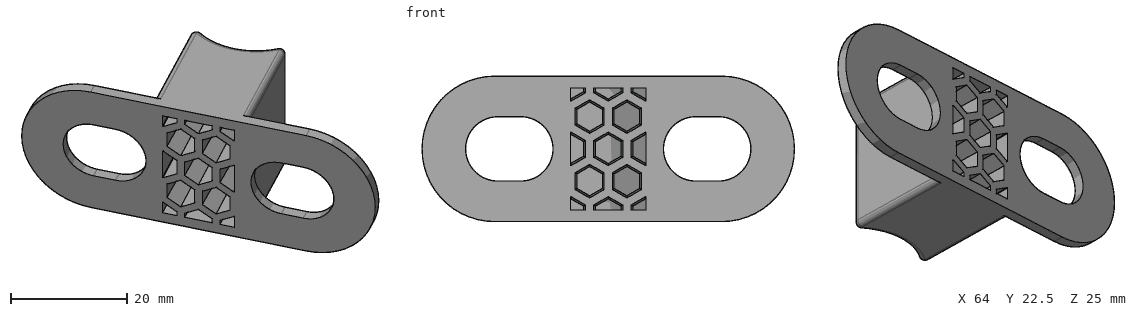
import cadquery as cq
import math

plate_length = 64
plate_height = 25.0
plate_thickness = 2.0

slot_spacing = 34.0
slot_length = 15.0
slot_height = 11.0

block_width = 17.0
edge_radius = 1.0
total_depth = 22.5
saddle_radius = 11.5

pocket_width = 13.0
pocket_height = 21.0
cell_pitch = 6.4
cell_flats = 5.0
rows_above_middle = 2
cell_draft = 1.0
floor_thickness = 2.0

tip_center_x = block_width / 2 - edge_radius
tip_center_y = total_depth - edge_radius
saddle_axis_y = tip_center_y + math.sqrt((saddle_radius + edge_radius) ** 2 - tip_center_x**2)


def facing_back(start_y):
    """Workplane parallel to XZ that extrudes toward +Y."""
    return cq.Workplane(cq.Plane(origin=(0, start_y, 0), xDir=(1, 0, 0), normal=(0, 1, 0)))


def saddle_cylinder(radius):
    """Cylinder along Z about the saddle axis, taller than the block."""
    return cq.Workplane("XY", origin=(0, saddle_axis_y, 0)).circle(radius).extrude(plate_height, both=True)


def make_plate():
    """Obround plate with two mounting slots."""
    plate = facing_back(0).slot2D(plate_length, plate_height).extrude(plate_thickness)
    slot_centers = [(-slot_spacing / 2, 0), (slot_spacing / 2, 0)]
    slots = facing_back(0).pushPoints(slot_centers).slot2D(slot_length, slot_height).extrude(plate_thickness)
    return plate.cut(slots)


def make_block():
    """Block with the saddle cut in its end and every edge behind the plate rounded."""
    uncut_length = saddle_axis_y - plate_thickness
    block = facing_back(plate_thickness).rect(block_width, plate_height).extrude(uncut_length)
    block = block.cut(saddle_cylinder(saddle_radius))
    return block.edges("not(<Y)").fillet(edge_radius)


def make_cell():
    """Tapered hexagonal cell with corners at top and bottom, centred on the Y axis."""
    corner_radius = cell_flats / math.sqrt(3)
    corners = []
    for corner in range(6):
        angle = math.radians(30 + 60 * corner)
        corners.append((corner_radius * math.cos(angle), corner_radius * math.sin(angle)))
    return facing_back(0).polyline(corners).close().extrude(total_depth, taper=cell_draft)


def make_honeycomb():
    """Hexagonal cells clipped by the pocket, with a floor parallel to the saddle."""
    pocket = facing_back(0).rect(pocket_width, pocket_height).extrude(total_depth)
    pocket = pocket.cut(saddle_cylinder(saddle_radius + floor_thickness))
    cell = make_cell()
    row_pitch = cell_pitch * math.sqrt(3) / 2
    honeycomb = cq.Workplane()
    for row in range(-rows_above_middle, rows_above_middle + 1):
        columns = 2 if row % 2 else 3
        for column in range(columns):
            x = (column - (columns - 1) / 2) * cell_pitch
            honeycomb = honeycomb.add(cell.translate((x, 0, row * row_pitch)).intersect(pocket))
    return honeycomb.combine()


result = make_plate().union(make_block()).cut(make_honeycomb())